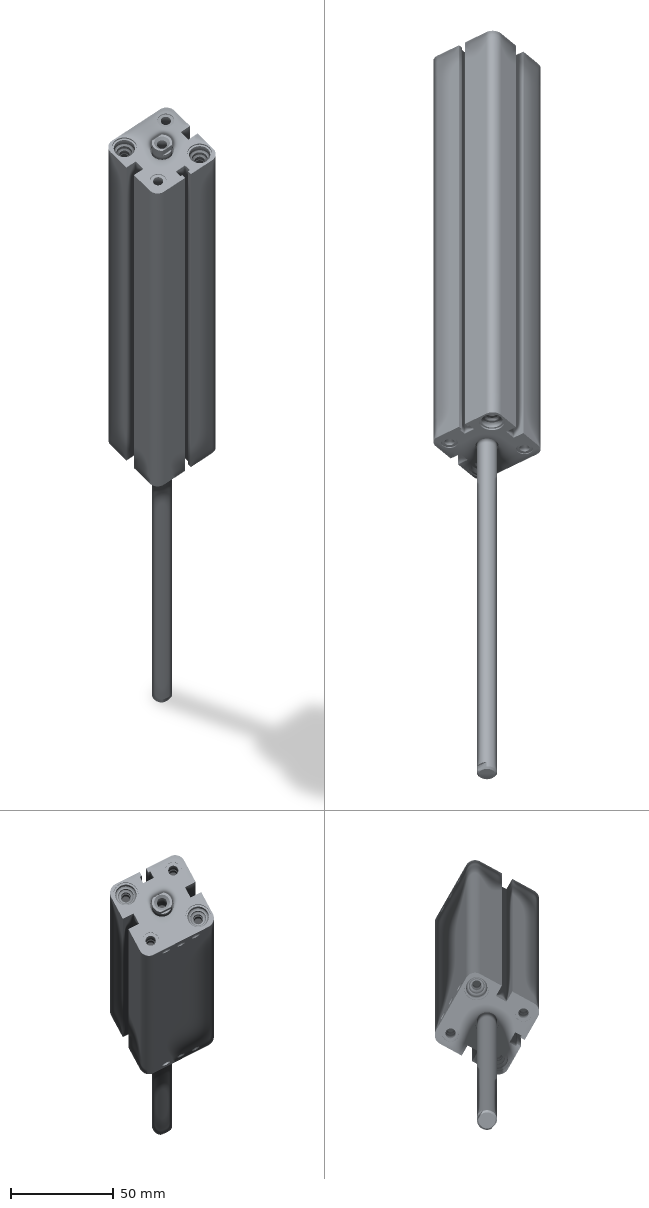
import cadquery as cq

rod_length = 451.0
rod_diameter = 10.0
rod_flat_width = 8.0
rod_flat_length = 3.5
rod_chamfer = 1.0
thread_diameter = 5.0
thread_depth = 16.0
thread_mouth_diameter = 7.5
rod_top = rod_length / 2
rod_bottom = -rod_length / 2

width = 40.0
half_width = width / 2
housing_length = 239.0
cap_height = 12.0
rod_stick_out = 6.5
housing_top = rod_top - rod_stick_out
housing_bottom = housing_top - housing_length
housing_middle = (housing_top + housing_bottom) / 2
tube_length = housing_length - 2 * cap_height
tube_bottom = housing_bottom + cap_height
tube_top = tube_bottom + tube_length
bore_diameter = 25.0

corner_radius = 5.0
slot_width = 6.0
slot_depth = 6.0
slot_lip = 2.3
slot_mouth = 3.5

lip_diameter = 11.5
lip_thickness = 1.0
groove_diameter = 14.0
groove_length = 2.5

corner_hole_pitch = 26.0
screw_hole_steps = [(4.15, cap_height), (5.0, 8.0), (8.0, 0.5)]
counterbored_hole_steps = [(4.15, cap_height), (5.0, 8.0), (7.5, 6.0), (10.5, 4.0), (12.0, 1.0)]

port_inset = 7.0
port_steps = [(4.15, 4.5)]
side_screw_pitch = 16.2
side_screw_inset = 6.0
side_screw_steps = [(2.3, 4.5), (4.15, 1.5)]


def cylinder(diameter, bottom, length, x=0, y=0):
    """Upright round bar standing on the given height."""
    return cq.Workplane("XY", origin=(x, y, bottom)).circle(diameter / 2).extrude(length)


def profile_bar(bottom, length):
    """Square bar with rounded corners, plain slots in +Y and -Y and a T-slot in +X."""
    level = cq.Workplane("XY").workplane(offset=bottom)
    bar = level.rect(width, width).extrude(length).edges("|Z").fillet(corner_radius)
    for side in (-1, 1):
        slot = level.center(0, side * half_width).rect(slot_width, 2 * slot_depth)
        bar = bar.cut(slot.extrude(length))

    mouth = level.center(half_width, 0).rect(2 * slot_depth, slot_mouth).extrude(length)
    chamber_depth = slot_depth - slot_lip
    chamber_x = half_width - slot_lip - chamber_depth / 2
    chamber = level.center(chamber_x, 0).rect(chamber_depth, slot_width).extrude(length)
    return bar.cut(mouth).cut(chamber)


def drill_top(cap, steps, x, y):
    """Stepped hole going down from the top of the housing."""
    for diameter, depth in steps:
        cap = cap.cut(cylinder(diameter, housing_top - depth, depth, x, y))
    return cap


def drill_side(cap, steps, y, inset):
    """Stepped hole going inwards from the -X face."""
    face = cq.Workplane("YZ", origin=(-half_width, y, housing_top - inset))
    for diameter, depth in steps:
        cap = cap.cut(face.circle(diameter / 2).extrude(depth))
    return cap


def make_top_cap():
    cap = profile_bar(tube_top, cap_height)

    lip_bottom = housing_top - lip_thickness
    cap = cap.cut(cylinder(rod_diameter, tube_top, cap_height))
    cap = cap.cut(cylinder(lip_diameter, lip_bottom, lip_thickness))
    cap = cap.cut(cylinder(groove_diameter, lip_bottom - groove_length, groove_length))

    for x_side in (-1, 1):
        for y_side in (-1, 1):
            steps = counterbored_hole_steps if x_side == y_side else screw_hole_steps
            x = x_side * corner_hole_pitch / 2
            y = y_side * corner_hole_pitch / 2
            cap = drill_top(cap, steps, x, y)

    cap = drill_side(cap, port_steps, 0, port_inset)
    for side in (-1, 1):
        cap = drill_side(cap, side_screw_steps, side * side_screw_pitch / 2, side_screw_inset)
    return cap


def make_bottom_cap():
    """Mirror image of the top cap about the middle of the housing."""
    return make_top_cap().mirror("XY", (0, 0, housing_middle))


def make_tube():
    bore = cylinder(bore_diameter, tube_bottom, tube_length)
    return profile_bar(tube_bottom, tube_length).cut(bore)


def make_rod():
    rod = cylinder(rod_diameter, rod_bottom, rod_length).faces("<Z").chamfer(rod_chamfer)

    flat_heights = (rod_top - rod_flat_length / 2, rod_bottom + rod_flat_length / 2)
    for z in flat_heights:
        for side in (-1, 1):
            x = side * (rod_flat_width + rod_diameter) / 2
            cutter = cq.Workplane("XY", origin=(x, 0, z))
            rod = rod.cut(cutter.box(rod_diameter, rod_diameter, rod_flat_length))

    rod = rod.cut(cylinder(thread_diameter, rod_top - thread_depth, thread_depth))
    mouth_depth = (thread_mouth_diameter - thread_diameter) / 2
    mouth = cq.Solid.makeCone(
        thread_diameter / 2,
        thread_mouth_diameter / 2,
        mouth_depth,
        cq.Vector(0, 0, rod_top - mouth_depth),
    )
    return rod.cut(cq.Workplane(obj=mouth))


top_cap = make_top_cap()
bottom_cap = make_bottom_cap()
tube = make_tube()
rod = make_rod()

result = cq.Compound.makeCompound([top_cap.val(), bottom_cap.val(), tube.val(), rod.val()])